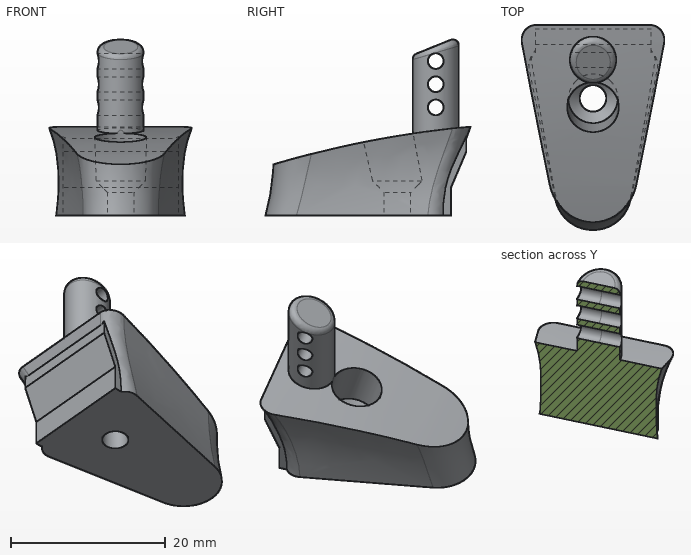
import cadquery as cq
import math


REAR_TOP_Z = 11.52
REAR_TOP_Y = 4.52
NOSE_BOTTOM_Y = -22.06
BASE_SECTIONS = [
    (0.0, 8.35, 1.33, NOSE_BOTTOM_Y, 4.98),
    (4.0, 8.03, 2.00, -21.25, 5.10),
    (7.9, 8.30, 3.22, -20.95, 5.68),
    (REAR_TOP_Z, 9.33, REAR_TOP_Y, -20.80, 6.80),
]
REAR_CORNER_RADIUS = 2.0

TOP_MIDDLE = (-6.13, 10.12)
TOP_FRONT = (-21.07, 6.62)
TRIM_MARGIN = 5.0

PAD_WIDTH = 15.0
PAD_LOWER_Y = 2.0
PAD_UPPER_Y = 3.98
PAD_SLOPE_BOTTOM_Z = 3.65
PAD_SLOPE_TOP_Z = 8.3
PAD_TOP_Z = 10.36
PAD_INNER_Y = -2.0

PEG_DIAMETER = 6.0
PEG_ROOT_Z = 8.0
PEG_END_AXIS_Z = 21.98
PEG_END_TILT = 22.0
PEG_END_FILLET = 0.8
CROSS_HOLE_DIAMETER = 2.0
CROSS_HOLE_COUNT = 3
CROSS_HOLE_LOWEST_Z = 14.0
CROSS_HOLE_PITCH = 3.0

SCREW_Y = -5.0
SCREW_DIAMETER = 3.4
HEAD_DIAMETER = 6.4
HEAD_TOP_Z = 4.5
ACCESS_DIAMETER = 6.8
ACCESS_TILT = 11.7
ACCESS_HEIGHT = 8.0


def section_wire(height, half_width, rear_y, tip_y, nose_radius):
    """Rounded wedge whose sides are tangent to the rear corners and to the nose."""
    corner = REAR_CORNER_RADIUS
    corner_x = half_width - corner
    corner_y = rear_y - corner
    nose_y = tip_y + nose_radius
    length = corner_y - nose_y
    span = math.hypot(corner_x, length)
    taper = math.atan2(corner_x, length) - math.asin((nose_radius - corner) / span)
    middle = (math.pi / 2 - taper) / 2

    def corner_point(angle):
        return (corner_x + corner * math.cos(angle), corner_y + corner * math.sin(angle))

    def mirrored(point):
        return (-point[0], point[1])

    side_rear = corner_point(-taper)
    corner_middle = corner_point(middle)
    rear_end = (corner_x, rear_y)
    side_nose = (nose_radius * math.cos(taper), nose_y - nose_radius * math.sin(taper))
    return (
        cq.Workplane("XY", origin=(0, 0, height))
        .moveTo(*mirrored(rear_end))
        .lineTo(*rear_end)
        .threePointArc(corner_middle, side_rear)
        .lineTo(*side_nose)
        .threePointArc((0, tip_y), mirrored(side_nose))
        .lineTo(*mirrored(side_rear))
        .threePointArc(mirrored(corner_middle), mirrored(rear_end))
        .close()
        .val()
    )


def make_base():
    wires = [section_wire(*section) for section in BASE_SECTIONS]
    flared = cq.Workplane(obj=cq.Solid.makeLoft(wires))
    envelope_half_width = BASE_SECTIONS[-1][1] + TRIM_MARGIN
    front_y = NOSE_BOTTOM_Y - TRIM_MARGIN
    rear_y = REAR_TOP_Y + TRIM_MARGIN
    below_top = (
        cq.Workplane("YZ")
        .moveTo(front_y, -TRIM_MARGIN)
        .lineTo(front_y, TOP_FRONT[1])
        .lineTo(*TOP_FRONT)
        .threePointArc(TOP_MIDDLE, (REAR_TOP_Y, REAR_TOP_Z))
        .lineTo(rear_y, REAR_TOP_Z)
        .lineTo(rear_y, -TRIM_MARGIN)
        .close()
        .extrude(envelope_half_width, both=True)
    )
    return flared.intersect(below_top)


def make_rear_pad():
    profile = [
        (PAD_INNER_Y, 0),
        (PAD_LOWER_Y, 0),
        (PAD_LOWER_Y, PAD_SLOPE_BOTTOM_Z),
        (PAD_UPPER_Y, PAD_SLOPE_TOP_Z),
        (PAD_UPPER_Y, PAD_TOP_Z),
        (PAD_INNER_Y, PAD_TOP_Z),
    ]
    return cq.Workplane("YZ").polyline(profile).close().extrude(PAD_WIDTH / 2, both=True)


def make_peg():
    radius = PEG_DIAMETER / 2
    rise = radius * math.tan(math.radians(PEG_END_TILT))
    profile = [
        (-radius, PEG_ROOT_Z),
        (radius, PEG_ROOT_Z),
        (radius, PEG_END_AXIS_Z + rise),
        (-radius, PEG_END_AXIS_Z - rise),
    ]
    envelope = cq.Workplane("YZ").polyline(profile).close().extrude(PEG_DIAMETER, both=True)
    peg = (
        cq.Workplane("XY", origin=(0, 0, PEG_ROOT_Z))
        .circle(radius)
        .extrude(PEG_END_AXIS_Z + rise - PEG_ROOT_Z + TRIM_MARGIN)
        .intersect(envelope)
    )
    peg = peg.faces(">Z").edges().fillet(PEG_END_FILLET)
    for index in range(CROSS_HOLE_COUNT):
        hole_z = CROSS_HOLE_LOWEST_Z + index * CROSS_HOLE_PITCH
        hole = (
            cq.Workplane("YZ")
            .center(0, hole_z)
            .circle(CROSS_HOLE_DIAMETER / 2)
            .extrude(PEG_DIAMETER, both=True)
        )
        peg = peg.cut(hole)
    return peg


def make_screw_cutter():
    bore_radius = SCREW_DIAMETER / 2
    head_radius = HEAD_DIAMETER / 2
    countersink_bottom_z = HEAD_TOP_Z - (head_radius - bore_radius)
    bore_and_countersink = (
        cq.Workplane("XZ", origin=(0, SCREW_Y, 0))
        .polyline([
            (0, 0),
            (bore_radius, 0),
            (bore_radius, countersink_bottom_z),
            (head_radius, HEAD_TOP_Z),
            (0, HEAD_TOP_Z),
        ])
        .close()
        .revolve(360, (0, 0), (0, 1))
    )
    lean = ACCESS_HEIGHT * math.tan(math.radians(ACCESS_TILT))
    up = cq.Vector(0, 0, 1)
    head_centre = cq.Vector(0, SCREW_Y, HEAD_TOP_Z)
    mouth_centre = head_centre + cq.Vector(0, -lean, ACCESS_HEIGHT)
    head_circle = cq.Wire.makeCircle(head_radius, head_centre, up)
    mouth_circle = cq.Wire.makeCircle(ACCESS_DIAMETER / 2, mouth_centre, up)
    access = cq.Workplane(obj=cq.Solid.makeLoft([head_circle, mouth_circle], True))
    return bore_and_countersink.union(access)


result = make_base().union(make_rear_pad()).union(make_peg()).cut(make_screw_cutter())